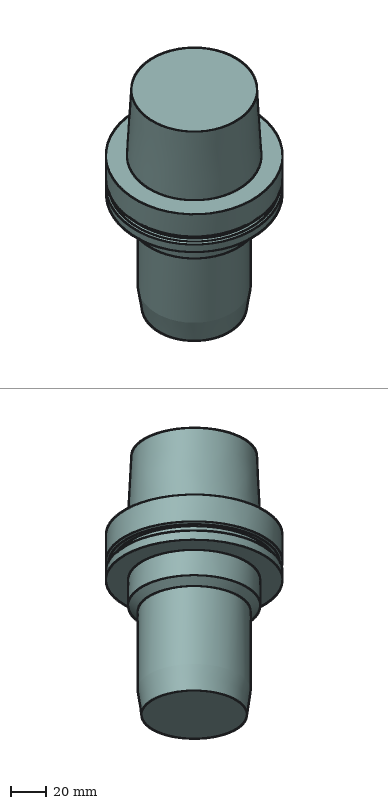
import cadquery as cq

total_height = 164.3
taper_length = 50.0
flange_top = total_height - taper_length
groove_top = 96.3
groove_bottom = 92.3
flange_bottom = 85.6
collar_bottom = 69.5
body_top = 65.4
nose_height = 15.6

taper_tip_diameter = 71.3
taper_base_diameter = 76.2
flange_diameter = 100.0
groove_diameter = 92.0
collar_diameter = 75.0
body_diameter = 64.0
nose_tip_diameter = 59.8

lip_width = 1.5
lip_height = 1.0
lip_diameter = flange_diameter - 2 * lip_width

profile = [
    (nose_tip_diameter, 0),
    (body_diameter, nose_height),
    (body_diameter, body_top),
    (collar_diameter, collar_bottom),
    (collar_diameter, flange_bottom),
    (flange_diameter, flange_bottom),
    (flange_diameter, groove_bottom - lip_height),
    (lip_diameter, groove_bottom),
    (groove_diameter, groove_bottom),
    (groove_diameter, groove_top),
    (lip_diameter, groove_top),
    (flange_diameter, groove_top + lip_height),
    (flange_diameter, flange_top),
    (taper_base_diameter, flange_top),
    (taper_tip_diameter, total_height),
]

outline = cq.Workplane("XZ").moveTo(0, 0)
for diameter, height in profile:
    outline = outline.lineTo(diameter / 2, height)

result = outline.lineTo(0, total_height).close().revolve(360, (0, 0, 0), (0, 1, 0))